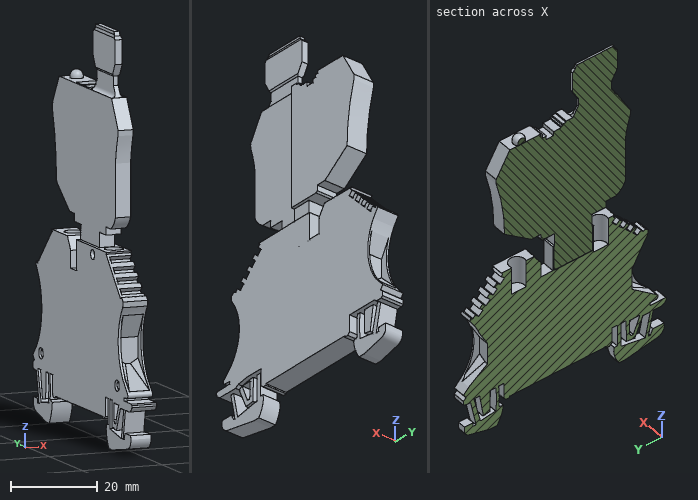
import cadquery as cq
import math


TOTAL_HEIGHT = 97.81
PLUG_RIGHT = 6.86
HALF_LENGTH = 30.0

BASE_WIDTH = 6.25
BASE_TOP = 46.0
FOOT_WIDTH = 5.1
BLOCK_CENTER_Y = 1.5
LEG_TOP = 11.8
SIDE_WALL = 0.65
RAIL_SEAT = 7.0

PLUG_LEFT = 0.9
PLUG_SPLIT = 4.75
PLUG_STEP_Y = -2.2
PLUG_TOP = 82.35
SHOULDER_TOP = 51.5
SHOULDER_BOTTOM = 49.6
NECK_RIGHT = 5.95
NECK_Y = (-8.1, 3.1)
NECK_BOTTOM = 38.7


def plate(points, x_start, x_end):
    """Extrude a closed Y-Z polygon from x_start to x_end."""
    return cq.Workplane("YZ", origin=(x_start, 0, 0)).polyline(points).close().extrude(x_end - x_start)


def block(x_range, y_range, z_range):
    """Axis-aligned box given by its limits."""
    size = [limits[1] - limits[0] for limits in (x_range, y_range, z_range)]
    corner = (x_range[0], y_range[0], z_range[0])
    return cq.Workplane("XY").box(*size, centered=False).translate(corner)


def tetrahedron(a, b, c, d):
    """Solid with four triangular faces between the given corners."""
    faces = []
    for corners in ((a, b, c), (a, b, d), (a, c, d), (b, c, d)):
        wire = cq.Wire.makePolygon([cq.Vector(*corner) for corner in corners], close=True)
        faces.append(cq.Face.makeFromWires(wire))
    return cq.Workplane(obj=cq.Solid.makeSolid(cq.Shell.makeShell(faces)))


FRONT_SLOPE = ((-14.4, 45.5), (-23.0, 36.6))
REAR_SLOPE = ((18.4, 45.5), (27.2, 36.6))


def base_body():
    """Plate with sloped shoulders, concave ends and the lugs above the feet."""
    return (
        cq.Workplane("YZ")
        .moveTo(-14.7, BASE_TOP)
        .lineTo(*FRONT_SLOPE[0])
        .lineTo(*FRONT_SLOPE[1])
        .lineTo(-23.7, 36.9)
        .lineTo(-24.7, 36.0)
        .lineTo(-24.4, 34.6)
        .threePointArc((-21.7, 26.5), (-24.5, 17.7))
        .lineTo(-27.2, 14.9)
        .threePointArc((-27.5, 14.2), (-27.0, 13.6))
        .lineTo(-25.2, 13.5)
        .lineTo(-25.2, 12.8)
        .lineTo(-29.7, 12.8)
        .lineTo(-HALF_LENGTH, 12.5)
        .lineTo(-HALF_LENGTH, 12.0)
        .threePointArc((-29.6, 11.4), (-28.3, 10.7))
        .lineTo(-23.0, 10.7)
        .lineTo(-22.0, 11.3)
        .lineTo(-19.0, LEG_TOP)
        .lineTo(26.9, LEG_TOP)
        .lineTo(27.9, 11.2)
        .lineTo(29.4, 11.2)
        .lineTo(HALF_LENGTH, 11.6)
        .lineTo(HALF_LENGTH, 12.8)
        .lineTo(29.2, 13.5)
        .lineTo(HALF_LENGTH, 14.6)
        .lineTo(27.6, 17.2)
        .threePointArc((24.6, 26.5), (26.6, 33.9))
        .lineTo(28.2, 36.3)
        .lineTo(27.8, 37.0)
        .lineTo(*REAR_SLOPE[1])
        .lineTo(*REAR_SLOPE[0])
        .lineTo(18.8, BASE_TOP)
        .close()
        .extrude(BASE_WIDTH)
    )


def rail_block():
    """Middle of the base, reaching down to the rail, with a low pad at each end."""
    front, rear = -13.9, 18.1
    pad_length = 1.8
    pad_bottom = 6.6
    corner = 0.7
    return plate(
        [
            (front, LEG_TOP),
            (front, pad_bottom + corner),
            (front + corner, pad_bottom),
            (front + pad_length, pad_bottom),
            (front + pad_length, RAIL_SEAT),
            (rear - pad_length, RAIL_SEAT),
            (rear - pad_length, pad_bottom),
            (rear - corner, pad_bottom),
            (rear, pad_bottom + corner),
            (rear, LEG_TOP),
        ],
        0,
        BASE_WIDTH,
    )


LEG_OVERLAP = 0.5


def front_foot():
    """Hook at the -Y end with its inner leg, slanted strut and pierced tongue."""
    hook = (
        cq.Workplane("YZ")
        .moveTo(-15.4, 5.6)
        .lineTo(-14.5, 5.6)
        .lineTo(-14.3, 4.4)
        .threePointArc((-14.8, 2.2), (-16.0, 0))
        .lineTo(-17.8, 0)
        .lineTo(-27.3, 1.75)
        .threePointArc((-28.9, 2.8), (-29.4, 4.3))
        .lineTo(-29.2, 5.3)
        .lineTo(-25.9, 5.3)
        .lineTo(-25.1, 3.7)
        .lineTo(-23.5, 3.7)
        .lineTo(-16.6, 4.9)
        .close()
        .extrude(FOOT_WIDTH)
    )
    leg_top = LEG_TOP + LEG_OVERLAP
    inner_leg = plate([(-15.4, leg_top), (-15.4, 5.0), (-16.6, 4.5), (-16.6, leg_top)], 0, FOOT_WIDTH)
    strut = plate([(-25.3, LEG_TOP), (-26.3, LEG_TOP), (-24.6, 3.2), (-23.5, 3.2)], 0, FOOT_WIDTH)
    tongue = plate(
        [(-17.9, leg_top), (-18.1, 5.4), (-20.6, 5.1), (-23.3, 11.2), (-23.3, leg_top)], 0, FOOT_WIDTH
    )
    window = plate([(-19.1, 11.3), (-22.0, 11.3), (-20.1, 6.6), (-19.5, 6.6), (-19.1, 7.4)], 0, FOOT_WIDTH)
    return hook.union(inner_leg).union(strut).union(tongue), window


def rear_foot():
    """Hook at the +Y end with its inner leg, slanted strut and plain tongue."""
    hook = (
        cq.Workplane("YZ")
        .moveTo(19.4, 5.7)
        .lineTo(18.1, 5.3)
        .threePointArc((18.8, 2.3), (20.0, 0))
        .lineTo(22.0, 0)
        .lineTo(28.0, 1.5)
        .threePointArc((29.2, 2.2), (29.7, 3.2))
        .lineTo(29.7, 4.8)
        .lineTo(27.1, 4.8)
        .lineTo(27.1, 3.7)
        .lineTo(26.2, 3.7)
        .lineTo(24.8, 4.2)
        .lineTo(20.5, 4.8)
        .close()
        .extrude(FOOT_WIDTH)
    )
    leg_top = LEG_TOP + LEG_OVERLAP
    inner_leg = plate(
        [(19.5, leg_top), (19.3, 8.3), (19.4, 5.2), (20.5, 4.5), (20.2, 8.3), (20.5, leg_top)], 0, FOOT_WIDTH
    )
    strut = plate([(26.9, leg_top), (27.9, leg_top), (27.9, 11.2), (26.2, 3.3), (24.8, 3.9)], 0, FOOT_WIDTH)
    tongue = plate([(25.3, leg_top), (24.1, 5.1), (22.1, 5.5), (22.0, leg_top)], 0, FOOT_WIDTH)
    return hook.union(inner_leg).union(strut).union(tongue)


def top_notch():
    """Slot with one slanted lip across the full thickness of the base."""
    return plate(
        [(9.0, BASE_TOP), (7.0, 42.9), (7.0, NECK_BOTTOM), (3.6, NECK_BOTTOM), (3.6, BASE_TOP)], 0, BASE_WIDTH
    )


TOOTH_GROOVES = 4
TOOTH_PITCH = 3.0
GROOVE_WIDTH = 1.7
GROOVE_DEPTH = 1.4
FIRST_GROOVE = 1.6


def tooth_grooves(slope):
    """Square grooves across a sloped shoulder, open on the +X side."""
    (top_y, top_z), (bottom_y, bottom_z) = slope
    length = math.hypot(bottom_y - top_y, bottom_z - top_z)
    along_y = (bottom_y - top_y) / length
    along_z = (bottom_z - top_z) / length
    tilt = math.degrees(math.atan(along_z / along_y))
    groove = cq.Workplane("XY").box(
        BASE_WIDTH - SIDE_WALL, GROOVE_WIDTH, 2 * GROOVE_DEPTH, centered=(False, True, True)
    )
    groove = groove.rotate((0, 0, 0), (1, 0, 0), tilt)
    cuts = cq.Workplane("XY")
    for index in range(TOOTH_GROOVES):
        distance = FIRST_GROOVE + index * TOOTH_PITCH
        place = (SIDE_WALL, top_y + along_y * distance, top_z + along_z * distance)
        cuts = cuts.add(groove.translate(place))
    return cuts.combine()


ENTRY_RIGHT = 5.7
ENTRY_TOP = 32.5
ENTRY_BOTTOM = 15.2
ENTRY_BACK_TOP = 26.7
ENTRY_BACK_BOTTOM = 20.5
ENTRY_DEPTH_Y = 21.4
ENTRY_MOUTH_Y = 28.4
ENTRY_ROOF_Y = 24.6
GUSSET_HEIGHT = 1.2
GUSSET_WIDTH = 1.9


def wire_entry(side):
    """Funnel in a concave end; side is -1 or +1 along Y."""
    def at(distance):
        return BLOCK_CENTER_Y + side * distance

    back = at(ENTRY_DEPTH_Y)
    floor_end = at(ENTRY_MOUTH_Y)
    funnel = plate(
        [
            (back, ENTRY_BACK_TOP), (at(ENTRY_ROOF_Y), ENTRY_TOP), (floor_end, ENTRY_TOP),
            (floor_end, ENTRY_BOTTOM), (back, ENTRY_BACK_BOTTOM),
        ],
        SIDE_WALL,
        ENTRY_RIGHT,
    )
    for wall, inward in ((SIDE_WALL, 1), (ENTRY_RIGHT, -1)):
        gusset = tetrahedron(
            (wall, back, ENTRY_BACK_BOTTOM),
            (wall, back, ENTRY_BACK_BOTTOM + GUSSET_HEIGHT),
            (wall + inward * GUSSET_WIDTH, back, ENTRY_BACK_BOTTOM),
            (wall, floor_end, ENTRY_BOTTOM),
        )
        funnel = funnel.cut(gusset)
    return funnel


SCREW_X = 3.5
SCREW_RADIUS = 2.2
SCREW_OFFSET_Y = 12.1
SCREW_DEPTH = 8.0


def screw_holes():
    """Blind access holes from the top, one for each wire entry."""
    places = [(SCREW_X, BLOCK_CENTER_Y + side * SCREW_OFFSET_Y) for side in (-1, 1)]
    top = cq.Workplane("XY", origin=(0, 0, BASE_TOP))
    return top.pushPoints(places).circle(SCREW_RADIUS).extrude(-SCREW_DEPTH)


PIN_HOLES = ((25.0, 15.7), (-21.0, 15.7))
PIN_RIM_RADIUS = 1.3
PIN_BOTTOM_RADIUS = 0.9
PIN_DEPTH = 2.0
INSPECTION_HOLE = (-6.2, 44.1)
INSPECTION_RADIUS = 1.15
INSPECTION_DEPTH = PLUG_LEFT


def side_holes():
    """Tapered pin holes and a round inspection hole in the -X face."""
    taper_depth = PIN_RIM_RADIUS - PIN_BOTTOM_RADIUS
    face = cq.Workplane("YZ").center(*INSPECTION_HOLE)
    inspection_hole = face.circle(INSPECTION_RADIUS).extrude(INSPECTION_DEPTH)
    side = cq.Workplane("YZ").pushPoints(PIN_HOLES)
    bores = side.circle(PIN_BOTTOM_RADIUS).extrude(PIN_DEPTH)
    tapers = side.circle(PIN_RIM_RADIUS).extrude(taper_depth, taper=45)
    return inspection_hole.union(bores).union(tapers)


def neck():
    """Stepped tongue of the plug that stands in the base."""
    z_range = (NECK_BOTTOM, SHOULDER_BOTTOM)
    long_half = block((PLUG_LEFT, PLUG_SPLIT), NECK_Y, z_range)
    short_half = block((PLUG_SPLIT, NECK_RIGHT), (PLUG_STEP_Y, NECK_Y[1]), z_range)
    return long_half.union(short_half)


def plug_body():
    """Waisted plate whose +X half covers only the rear part."""
    outline = (
        cq.Workplane("YZ", origin=(PLUG_LEFT, 0, 0))
        .moveTo(16.3, PLUG_TOP)
        .lineTo(-15.5, PLUG_TOP)
        .lineTo(-19.5, 75.4)
        .lineTo(-19.3, 74.0)
        .threePointArc((-18.4, 70.6), (-17.85, 67.3))
        .lineTo(-17.85, 54.6)
        .threePointArc((-16.8, 52.9), (-15.0, SHOULDER_TOP))
        .lineTo(-12.2, SHOULDER_TOP)
        .lineTo(-12.2, SHOULDER_BOTTOM)
        .lineTo(6.7, SHOULDER_BOTTOM)
        .lineTo(7.15, 50.0)
        .lineTo(7.15, SHOULDER_TOP)
        .lineTo(9.9, SHOULDER_TOP)
        .lineTo(17.9, 57.3)
        .threePointArc((18.6, 66.4), (20.35, 74.0))
        .lineTo(20.35, 75.4)
        .close()
    )
    missing = block((PLUG_SPLIT, PLUG_RIGHT), (-HALF_LENGTH, PLUG_STEP_Y), (0, TOTAL_HEIGHT))
    return outline.extrude(PLUG_RIGHT - PLUG_LEFT).cut(missing)


DIP_LEFT = 1.5
DIP_STEPS = (
    ((-0.3, 0.7), 0.4),
    ((0.7, 1.2), 0.9),
    ((1.2, 3.4), 1.3),
    ((3.4, 5.5), 2.5),
    ((5.5, 6.5), 1.5),
    ((6.5, 7.2), 0.7),
)


def top_dip():
    """Stepped dip in the top of the plug, open on the +X side."""
    dip = cq.Workplane("XY")
    for y_range, depth in DIP_STEPS:
        dip = dip.union(block((DIP_LEFT, PLUG_RIGHT), y_range, (PLUG_TOP - depth, PLUG_TOP)))
    return dip


TAB_X = 2.7
TAB_HALF_STEM = 0.63
TAB_HALF_GRIP = 0.95
TAB_HALF_TOP = 0.7
TAB_HALF_FOOT = TAB_X - PLUG_LEFT
TAB_Y = -8.85
TAB_FOOT_TOP = 83.3
STEM_TOP = 87.2
GRIP_BOTTOM = 87.7
GRIP_TOP = 96.4
CREST_BOTTOM = 97.1


def pull_tab():
    """Grip plate on a flared stem: the side outline cut to the stepped thickness."""
    half_side = [
        (6.6, PLUG_TOP), (4.95, 85.0), (4.95, STEM_TOP), (5.25, GRIP_BOTTOM),
        (6.65, 90.2), (6.65, 96.0), (5.9, 96.8), (5.55, TOTAL_HEIGHT),
    ]
    front_side = [(TAB_Y - offset, z) for offset, z in half_side]
    rear_side = [(TAB_Y + offset, z) for offset, z in reversed(half_side)]
    outline = plate(front_side + rear_side, 0, PLUG_RIGHT)

    flare = TAB_HALF_FOOT - TAB_HALF_STEM
    bulge_x = TAB_HALF_FOOT - flare * math.sin(math.radians(45))
    bulge_z = TAB_FOOT_TOP - (TAB_FOOT_TOP - PLUG_TOP) * math.sin(math.radians(45))
    thickness = (
        cq.Workplane("XZ")
        .moveTo(TAB_X - TAB_HALF_FOOT, PLUG_TOP)
        .threePointArc((TAB_X - bulge_x, bulge_z), (TAB_X - TAB_HALF_STEM, TAB_FOOT_TOP))
        .lineTo(TAB_X - TAB_HALF_STEM, STEM_TOP)
        .lineTo(TAB_X - TAB_HALF_GRIP, GRIP_BOTTOM)
        .lineTo(TAB_X - TAB_HALF_GRIP, GRIP_TOP)
        .lineTo(TAB_X - TAB_HALF_TOP, CREST_BOTTOM)
        .lineTo(TAB_X - TAB_HALF_TOP, TOTAL_HEIGHT)
        .lineTo(TAB_X + TAB_HALF_TOP, TOTAL_HEIGHT)
        .lineTo(TAB_X + TAB_HALF_TOP, CREST_BOTTOM)
        .lineTo(TAB_X + TAB_HALF_GRIP, GRIP_TOP)
        .lineTo(TAB_X + TAB_HALF_GRIP, GRIP_BOTTOM)
        .lineTo(TAB_X + TAB_HALF_STEM, STEM_TOP)
        .lineTo(TAB_X + TAB_HALF_STEM, TAB_FOOT_TOP)
        .threePointArc((TAB_X + bulge_x, bulge_z), (TAB_X + TAB_HALF_FOOT, PLUG_TOP))
        .close()
        .extrude(HALF_LENGTH)
    )
    return outline.intersect(thickness)


LAMP_RADIUS = 1.58
LAMP_COLLAR = 0.5
LAMP_Y = 12.8


def lamp_body():
    """Short cylinder with a hemispherical top, standing on the plug."""
    x = (PLUG_LEFT + PLUG_RIGHT) / 2
    dome_z = PLUG_TOP + LAMP_COLLAR
    diagonal = LAMP_RADIUS * math.sin(math.radians(45))
    return (
        cq.Workplane("XZ", origin=(x, LAMP_Y, 0))
        .moveTo(0, PLUG_TOP)
        .lineTo(LAMP_RADIUS, PLUG_TOP)
        .lineTo(LAMP_RADIUS, dome_z)
        .threePointArc((diagonal, dome_z + diagonal), (0, dome_z + LAMP_RADIUS))
        .close()
        .revolve(360, (0, 0, 0), (0, 1, 0))
    )


foot, foot_window = front_foot()
base = base_body().union(rail_block()).union(foot).union(rear_foot())
base = base.cut(foot_window).cut(top_notch()).cut(neck())
for shoulder in (FRONT_SLOPE, REAR_SLOPE):
    base = base.cut(tooth_grooves(shoulder))
for end in (-1, 1):
    base = base.cut(wire_entry(end))
base = base.cut(screw_holes()).cut(side_holes())

plug = plug_body().union(neck()).union(pull_tab()).cut(top_dip())
lamp = lamp_body()

result = cq.Compound.makeCompound([base.val(), plug.val(), lamp.val()])